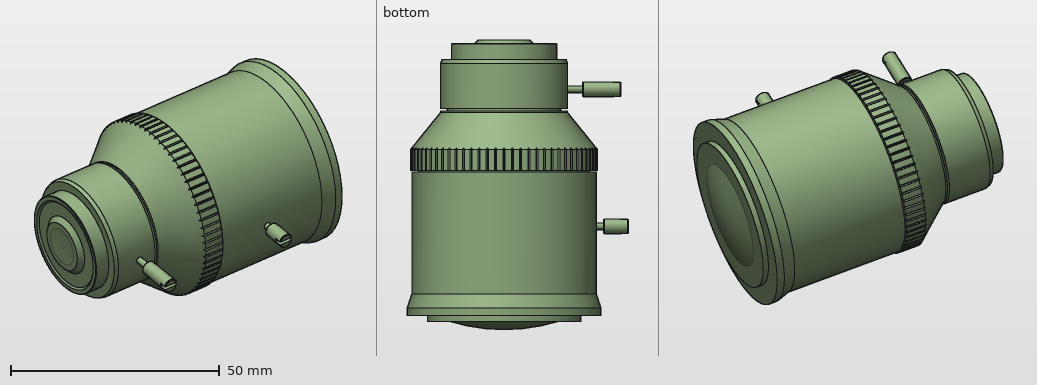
import cadquery as cq
import math


mount_radius = 12.65
mount_start_y = 0.85
mount_chamfer = 0.15
recess_depth = 0.4
recess_rim_radius = 11.5
recess_floor_radius = 11.0

holder_face_radius = 6.2
recess_floor_y = mount_start_y + recess_depth
holder_base_radius = holder_face_radius + recess_floor_y
rear_glass_radius = 4.7
rear_glass_sag = 0.2

rear_ring_radius = 15.25
rear_ring_start_y = 4.65
rear_ring_chamfer_length = 1.0
rear_ring_chamfer_height = 0.35
rear_ring_end_y = 16.45

rear_groove_width = 0.55
rear_groove_depth = 1.6
cone_collar_start_y = rear_ring_end_y + rear_groove_width
cone_start_y = 17.4
knurl_radius = 22.45
knurl_start_y = 26.3
knurl_end_y = 31.3

front_groove_width = 0.3
front_groove_depth = 1.6
barrel_radius = 22.15
barrel_start_y = knurl_end_y + front_groove_width
flare_start_y = 60.9
rim_radius = 23.25
rim_start_y = 64.2
rim_end_y = 66.1

front_ring_radius = 18.4
front_ring_end_y = 67.5
dome_radius = 13.0
length = 69.45

knurl_count = 70
knurl_groove_width = 0.5
knurl_groove_depth = 0.35

stem_radius = 0.85
stem_root_depth = 2.0
head_radius = 1.8
head_chamfer = 0.2
screw_slot_width = 0.85
screw_slot_depth = 1.75
focus_screw_y = 44.7
focus_head_start_x = 23.9
focus_head_end_x = 29.8
zoom_screw_y = 11.85
zoom_head_start_x = 18.85
zoom_head_end_x = 28.05


def make_body():
    """Revolve the half section of the whole lens; sketch X is the radius."""
    dome_height = length - front_ring_end_y
    dome_sphere_radius = (dome_radius**2 + dome_height**2) / (2 * dome_height)
    dome_mid_radius = dome_radius / 2
    dome_mid_y = length - dome_sphere_radius + math.sqrt(dome_sphere_radius**2 - dome_mid_radius**2)

    glass_sphere_radius = (rear_glass_radius**2 + rear_glass_sag**2) / (2 * rear_glass_sag)
    glass_mid_radius = rear_glass_radius / 2
    glass_mid_y = rear_glass_sag - glass_sphere_radius + math.sqrt(
        glass_sphere_radius**2 - glass_mid_radius**2
    )

    section = (
        cq.Workplane("XY")
        .moveTo(0, rear_glass_sag)
        .threePointArc((glass_mid_radius, glass_mid_y), (rear_glass_radius, 0))
        .lineTo(holder_face_radius, 0)
        .lineTo(holder_base_radius, recess_floor_y)
        .lineTo(recess_floor_radius, recess_floor_y)
        .lineTo(recess_rim_radius, mount_start_y)
        .lineTo(mount_radius - mount_chamfer, mount_start_y)
        .lineTo(mount_radius, mount_start_y + mount_chamfer)
        .lineTo(mount_radius, rear_ring_start_y)
        .lineTo(rear_ring_radius - rear_ring_chamfer_height, rear_ring_start_y)
        .lineTo(rear_ring_radius, rear_ring_start_y + rear_ring_chamfer_length)
        .lineTo(rear_ring_radius, rear_ring_end_y)
        .lineTo(rear_ring_radius - rear_groove_depth, rear_ring_end_y)
        .lineTo(rear_ring_radius - rear_groove_depth, cone_collar_start_y)
        .lineTo(rear_ring_radius, cone_collar_start_y)
        .lineTo(rear_ring_radius, cone_start_y)
        .lineTo(knurl_radius, knurl_start_y)
        .lineTo(knurl_radius, knurl_end_y)
        .lineTo(barrel_radius - front_groove_depth, knurl_end_y)
        .lineTo(barrel_radius - front_groove_depth, barrel_start_y)
        .lineTo(barrel_radius, barrel_start_y)
        .lineTo(barrel_radius, flare_start_y)
        .lineTo(rim_radius, rim_start_y)
        .lineTo(rim_radius, rim_end_y)
        .lineTo(front_ring_radius, rim_end_y)
        .lineTo(front_ring_radius, front_ring_end_y)
        .lineTo(dome_radius, front_ring_end_y)
        .threePointArc((dome_mid_radius, dome_mid_y), (0, length))
        .close()
    )
    return section.revolve(360, (0, 0, 0), (0, 1, 0))


def make_knurl_grooves():
    """Axial V grooves around the knurled band, running out through the cone behind it."""
    run_out = 1.0
    groove_start_y = knurl_start_y - run_out
    overshoot = 0.1
    mouth_radius = knurl_radius + overshoot
    root_radius = knurl_radius - knurl_groove_depth
    half_mouth = knurl_groove_width / 2 * (knurl_groove_depth + overshoot) / knurl_groove_depth
    groove = (
        cq.Workplane("XZ", origin=(0, groove_start_y, 0))
        .polyline([(0, root_radius), (half_mouth, mouth_radius), (-half_mouth, mouth_radius)])
        .close()
        .extrude(groove_start_y - knurl_end_y)
    )
    pitch = 360 / knurl_count
    grooves = [
        groove.rotate((0, 0, 0), (0, 1, 0), index * pitch).val()
        for index in range(knurl_count)
    ]
    return cq.Workplane("XY").newObject([cq.Compound.makeCompound(grooves)])


def make_screw(y, root_x, head_start_x, head_end_x):
    """Thin stem and slotted cylindrical head; the stem is rooted inside the body."""
    root_plane = cq.Workplane("YZ", origin=(root_x, y, 0))
    stem = root_plane.circle(stem_radius).extrude(head_start_x - root_x)
    head = (
        cq.Workplane("YZ", origin=(head_start_x, y, 0))
        .circle(head_radius)
        .extrude(head_end_x - head_start_x)
        .faces("<X or >X")
        .chamfer(head_chamfer)
    )
    slot = cq.Workplane("XY", origin=(head_end_x, y, 0)).box(
        2 * screw_slot_depth, 2 * head_radius, screw_slot_width
    )
    return stem.union(head.cut(slot))


body = make_body().cut(make_knurl_grooves())
focus_screw = make_screw(focus_screw_y, barrel_radius - stem_root_depth, focus_head_start_x, focus_head_end_x)
zoom_screw = make_screw(zoom_screw_y, rear_ring_radius - stem_root_depth, zoom_head_start_x, zoom_head_end_x)

result = body.union(focus_screw).union(zoom_screw)